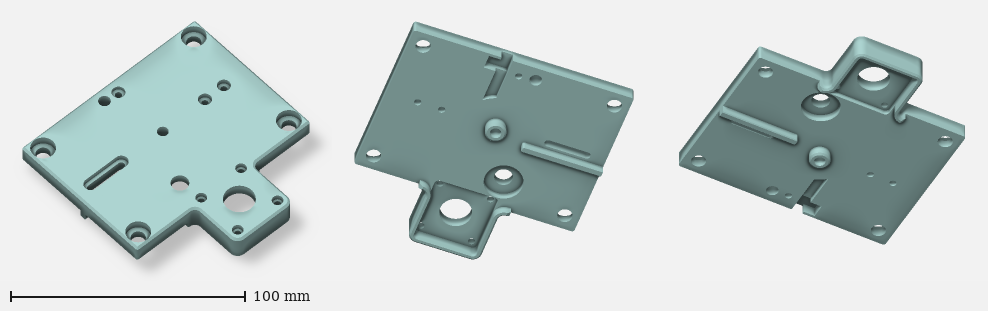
import cadquery as cq

BODY_X = 73.0
BODY_Y = 100.0
PLATE_THICKNESS = 8.0
BODY_CORNER_RADIUS = 1.1
TOP_CHAMFER = 1.0

TAB_REACH = 26.2
TAB_CORNER_RADIUS = 4.0
TAB_ROOT_RADIUS = 3.0
MOTOR_SIZE = 28.8
MOTOR_RECESS_DEPTH = 2.4
MOTOR_BORE = 14.0
MOTOR_SCREW_SPACING = 23.0
MOTOR_SCREW_HOLE = 3.0
MOTOR_SCREW_HEAD = 5.0
MOTOR_SCREW_HEAD_DEPTH = 2.6
SKIRT_WALL = 2.0
SKIRT_DEPTH = 4.5
SKIRT_CHAMFER = 0.8
SKIRT_END_CHAMFER = 1.5
SKIRT_END_LENGTH = 1.3

BODY_EDGE = BODY_X / 2
TAB_END = BODY_EDGE + TAB_REACH
TAB_HALF = MOTOR_SIZE / 2 + SKIRT_WALL
TAB_CENTER = TAB_END - TAB_HALF

MOUNT_SPACING_X = 60.0
MOUNT_SPACING_Y = 87.0
MOUNT_HOLE = 6.5
MOUNT_HEAD = 11.0
MOUNT_HEAD_DEPTH = 4.2

SCREW_HOLE = 3.1
SCREW_HEAD = 6.0
SCREW_HEAD_DEPTH = 2.7
SCREW_POINTS = [(-2.4, 35.6), (-2.4, 24.7)]
EDGE_SCREW_POINT = (-MOUNT_SPACING_X / 2, 0)
EDGE_SCREW_HEAD_DEPTH = 2.0
SLOT_X = -2.2
SLOT_Y = -32.6
SLOT_TRAVEL = 17.6
SLOT_WIDTH = 3.2
SLOT_HEAD_WIDTH = 6.3

PIVOT_X = -2.0
PIVOT_HOLE = 5.0
PIVOT_BOSS = 9.2
PIVOT_BOSS_CHAMFER = 0.8

PLAIN_POINT = (-30.6, -7.5)
PLAIN_HOLE = 5.4

CABLE_POINT = (23.0, -13.0)
CABLE_HOLE = 8.0
CABLE_RECESS = 17.0
CABLE_RECESS_DEPTH = 3.7

RIB_X = 0.8
RIB_WIDTH = 3.0
RIB_END_Y = -13.4
RIB_DEPTH = 3.8
RIB_END_RADIUS = 1.0
RIB_CHAMFER = 0.4

NOTCH_Y = 7.6
NOTCH_WIDTH = 5.2
NOTCH_WALL = 1.2
DEEP_POCKET_DEPTH = 4.7
DEEP_POCKET_LENGTH = 6.3
DEEP_POCKET_WIDTH = 10.5
SHALLOW_POCKET_DEPTH = 2.5
SHALLOW_POCKET_END_RADIUS = 15.0


def block(x_min, x_max, y_min, y_max, z_min, z_max):
    """Box given by its limits along each axis."""
    size = (x_max - x_min, y_max - y_min, z_max - z_min)
    return cq.Workplane().box(*size, centered=False).translate((x_min, y_min, z_min))


def disc(point, diameter, z_min, z_max):
    """Upright cylinder between two heights."""
    return cq.Workplane(origin=(*point, z_min)).circle(diameter / 2).extrude(z_max - z_min)


def rectangle_points(center_x, spacing_x, spacing_y):
    """Corners of a rectangle that is centered on the X axis."""
    return [(center_x + i * spacing_x / 2, j * spacing_y / 2) for i in (-1, 1) for j in (-1, 1)]


def tab_prism(head_x, root_x, end_x, head_half, tab_half, corner_radius, root_radius, z_min, z_max):
    """T-shaped prism: a wide head up to root_x, then a tab with rounded corners and roots."""
    head = block(head_x, root_x, -head_half, head_half, z_min, z_max)
    tab = block(head_x, end_x, -tab_half, tab_half, z_min, z_max)
    prism = head.union(tab).edges("|Z and >X").fillet(corner_radius)
    for side in (-1, 1):
        root_middle = (root_x, side * tab_half, (z_min + z_max) / 2)
        prism = prism.edges(cq.selectors.NearestToPointSelector(root_middle)).fillet(root_radius)
    return prism


def make_plate():
    plate = tab_prism(
        -BODY_EDGE, BODY_EDGE, TAB_END, BODY_Y / 2, TAB_HALF,
        TAB_CORNER_RADIUS, TAB_ROOT_RADIUS, 0, PLATE_THICKNESS,
    )
    for side in ("<Y", ">Y"):
        plate = plate.faces(side).edges("|Z").fillet(BODY_CORNER_RADIUS)
    return plate.faces(">Z").chamfer(TOP_CHAMFER)


def make_skirt():
    """Wall of even thickness that follows the tab outline below the plate."""
    inner_x = BODY_EDGE - SKIRT_WALL
    end_y = TAB_HALF + TAB_ROOT_RADIUS + SKIRT_END_LENGTH
    outer = tab_prism(
        inner_x, BODY_EDGE, TAB_END, end_y, TAB_HALF,
        TAB_CORNER_RADIUS, TAB_ROOT_RADIUS, -SKIRT_DEPTH, 0,
    )
    outer = outer.faces("<Z").edges("not (<X or <Y or >Y)").chamfer(SKIRT_CHAMFER)
    outer = outer.faces("<Z").edges("<Y or >Y").chamfer(SKIRT_END_CHAMFER)
    inner = tab_prism(
        inner_x - SKIRT_WALL, inner_x, TAB_END - SKIRT_WALL, end_y, TAB_HALF - SKIRT_WALL,
        TAB_CORNER_RADIUS - SKIRT_WALL, TAB_ROOT_RADIUS + SKIRT_WALL, -SKIRT_DEPTH, 0,
    )
    return outer.cut(inner)


def make_pivot_boss():
    boss = disc((PIVOT_X, 0), PIVOT_BOSS, -SKIRT_DEPTH, 0)
    return boss.faces("<Z").chamfer(PIVOT_BOSS_CHAMFER)


def make_rib():
    rib = block(RIB_X, RIB_X + RIB_WIDTH, -BODY_Y / 2, RIB_END_Y, -RIB_DEPTH, 0)
    rib = rib.edges("|Z and >Y").fillet(RIB_END_RADIUS)
    return rib.edges("<Z and |Y").chamfer(RIB_CHAMFER)


def through_hole(point, diameter):
    """Cutter that passes through the plate and anything hanging below it."""
    return disc(point, diameter, -SKIRT_DEPTH, PLATE_THICKNESS)


def counterbored_hole(point, hole, head, head_depth):
    """Cutter for a through hole with a flat-bottomed head recess in the top."""
    recess = disc(point, head, PLATE_THICKNESS - head_depth, PLATE_THICKNESS)
    return through_hole(point, hole).union(recess)


def slot_cutter(width, z_min):
    """Slot along Y from z_min up to the top face."""
    plane = cq.Workplane(origin=(SLOT_X, SLOT_Y, z_min))
    return plane.slot2D(SLOT_TRAVEL + width, width, 90).extrude(PLATE_THICKNESS - z_min)


def motor_recess():
    """Square recess in the underside that seats the motor face inside the skirt."""
    half = MOTOR_SIZE / 2
    recess = block(TAB_CENTER - half, TAB_CENTER + half, -half, half, 0, MOTOR_RECESS_DEPTH)
    return recess.edges("|Z").fillet(TAB_CORNER_RADIUS - SKIRT_WALL)


def notched_pocket():
    """Notch and deep pocket, then a shallow run ending on an arc about the pivot."""
    y_min = NOTCH_Y - NOTCH_WIDTH / 2
    y_max = y_min + DEEP_POCKET_WIDTH
    pocket_x = -BODY_EDGE + NOTCH_WALL
    notch = block(-BODY_EDGE, pocket_x, y_min, y_min + NOTCH_WIDTH, 0, DEEP_POCKET_DEPTH)
    deep = block(pocket_x, pocket_x + DEEP_POCKET_LENGTH, y_min, y_max, 0, DEEP_POCKET_DEPTH)
    shallow = block(pocket_x, PIVOT_X, y_min, y_min + NOTCH_WIDTH, 0, SHALLOW_POCKET_DEPTH)
    island = disc((PIVOT_X, 0), 2 * SHALLOW_POCKET_END_RADIUS, 0, SHALLOW_POCKET_DEPTH)
    return notch.union(deep).union(shallow.cut(island))


result = make_plate().union(make_skirt()).union(make_pivot_boss()).union(make_rib())

result = result.cut(motor_recess())
result = result.cut(notched_pocket())
result = result.cut(disc(CABLE_POINT, CABLE_RECESS, 0, CABLE_RECESS_DEPTH))

for mount_point in rectangle_points(0, MOUNT_SPACING_X, MOUNT_SPACING_Y):
    result = result.cut(counterbored_hole(mount_point, MOUNT_HOLE, MOUNT_HEAD, MOUNT_HEAD_DEPTH))
for motor_point in rectangle_points(TAB_CENTER, MOTOR_SCREW_SPACING, MOTOR_SCREW_SPACING):
    result = result.cut(
        counterbored_hole(motor_point, MOTOR_SCREW_HOLE, MOTOR_SCREW_HEAD, MOTOR_SCREW_HEAD_DEPTH)
    )
for screw_point in SCREW_POINTS:
    result = result.cut(counterbored_hole(screw_point, SCREW_HOLE, SCREW_HEAD, SCREW_HEAD_DEPTH))
result = result.cut(counterbored_hole(EDGE_SCREW_POINT, SCREW_HOLE, SCREW_HEAD, EDGE_SCREW_HEAD_DEPTH))

result = result.cut(slot_cutter(SLOT_WIDTH, 0))
result = result.cut(slot_cutter(SLOT_HEAD_WIDTH, PLATE_THICKNESS - SCREW_HEAD_DEPTH))

result = result.cut(through_hole((TAB_CENTER, 0), MOTOR_BORE))
result = result.cut(through_hole((PIVOT_X, 0), PIVOT_HOLE))
result = result.cut(through_hole(PLAIN_POINT, PLAIN_HOLE))
result = result.cut(through_hole(CABLE_POINT, CABLE_HOLE))